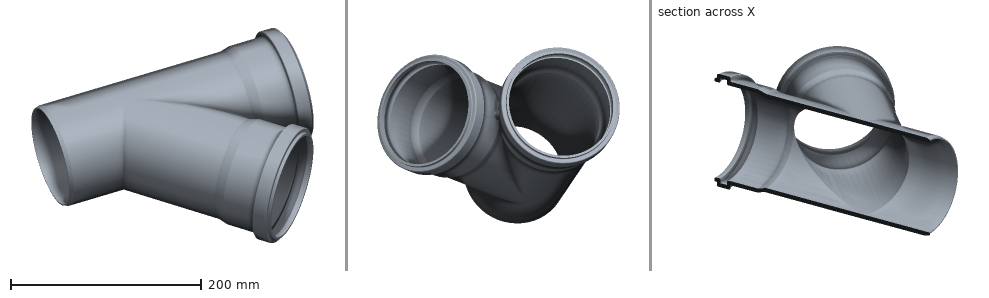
import cadquery as cq
import math


BRANCH_ANGLE = 45.0
TOTAL_LENGTH = 275.1
ARM_LENGTH = 191.6
PIPE_OUTER_DIAMETER = 110.2
PIPE_BORE_DIAMETER = 104.6
SOCKET_WALL = 2.5
NECK_BORE_DIAMETER = 110.9
GROOVE_DIAMETER = 121.9
LIP_BORE_DIAMETER = 111.5

COLLAR_START = 3.3
COLLAR_END = 18.7
CONE_START = 54.3
CONE_END = 65.0

LIP_ROOT_RADIUS = 0.8
COLLAR_FRONT_RADIUS = 1.3
COLLAR_BACK_CHAMFER = 0.6
COLLAR_BACK_RADIUS = 1.4
SPIGOT_CHAMFER_LENGTH = 4.6
SPIGOT_CHAMFER_DEPTH = 1.4
CROTCH_FILLET_RADIUS = 1.0
PLANE_TOLERANCE = 0.001

WEB_TIP_DISTANCE = 158.2
WEB_SEMI_LENGTH = 18.5
WEB_SEMI_HEIGHT = 8.0
WEB_THICKNESS = 8.0

SPIGOT_LENGTH = TOTAL_LENGTH - ARM_LENGTH
PIPE_RADIUS = PIPE_OUTER_DIAMETER / 2
BORE_RADIUS = PIPE_BORE_DIAMETER / 2
NECK_BORE_RADIUS = NECK_BORE_DIAMETER / 2
NECK_RADIUS = NECK_BORE_RADIUS + SOCKET_WALL
GROOVE_RADIUS = GROOVE_DIAMETER / 2
COLLAR_RADIUS = GROOVE_RADIUS + SOCKET_WALL
LIP_BORE_RADIUS = LIP_BORE_DIAMETER / 2
LIP_RADIUS = LIP_BORE_RADIUS + SOCKET_WALL
GROOVE_START = COLLAR_START + SOCKET_WALL
GROOVE_END = COLLAR_END - SOCKET_WALL


def revolve_about_y(profile):
    """Close a radius/axis profile and spin it about the Y axis."""
    return profile.close().revolve(360, (0, 0, 0), (0, 1, 0))


def tilt(body):
    """Swing a body from the run axis to the branch axis."""
    return body.rotate((0, 0, 0), (0, 0, 1), -BRANCH_ANGLE)


def outer_arm():
    """Solid outer shape from the axis crossing to the socket mouth."""
    mouth = ARM_LENGTH
    collar_front = mouth - COLLAR_START
    collar_back = mouth - COLLAR_END
    profile = (
        cq.Workplane("XY")
        .moveTo(0, 0)
        .lineTo(PIPE_RADIUS, 0)
        .lineTo(PIPE_RADIUS, mouth - CONE_END)
        .lineTo(NECK_RADIUS, mouth - CONE_START)
        .lineTo(NECK_RADIUS, collar_back - COLLAR_BACK_RADIUS)
        .radiusArc((NECK_RADIUS + COLLAR_BACK_RADIUS, collar_back), COLLAR_BACK_RADIUS)
        .lineTo(COLLAR_RADIUS - COLLAR_BACK_CHAMFER, collar_back)
        .lineTo(COLLAR_RADIUS, collar_back + COLLAR_BACK_CHAMFER)
        .lineTo(COLLAR_RADIUS, collar_front - COLLAR_FRONT_RADIUS)
        .radiusArc((COLLAR_RADIUS - COLLAR_FRONT_RADIUS, collar_front), -COLLAR_FRONT_RADIUS)
        .lineTo(LIP_RADIUS + LIP_ROOT_RADIUS, collar_front)
        .radiusArc((LIP_RADIUS, collar_front + LIP_ROOT_RADIUS), LIP_ROOT_RADIUS)
        .lineTo(LIP_RADIUS, mouth)
        .lineTo(0, mouth)
    )
    return revolve_about_y(profile)


def outer_spigot():
    """Plain pipe end below the axis crossing, tapered at its tip."""
    profile = (
        cq.Workplane("XY")
        .moveTo(0, 0)
        .lineTo(PIPE_RADIUS, 0)
        .lineTo(PIPE_RADIUS, SPIGOT_CHAMFER_LENGTH - SPIGOT_LENGTH)
        .lineTo(PIPE_RADIUS - SPIGOT_CHAMFER_DEPTH, -SPIGOT_LENGTH)
        .lineTo(0, -SPIGOT_LENGTH)
    )
    return revolve_about_y(profile)


def arm_bore():
    """Hollow of one arm: pipe bore, flare, socket bore, seal groove and mouth."""
    mouth = ARM_LENGTH
    profile = (
        cq.Workplane("XY")
        .moveTo(0, 0)
        .lineTo(BORE_RADIUS, 0)
        .lineTo(BORE_RADIUS, mouth - CONE_END)
        .lineTo(NECK_BORE_RADIUS, mouth - CONE_START)
        .lineTo(NECK_BORE_RADIUS, mouth - GROOVE_END)
        .lineTo(GROOVE_RADIUS, mouth - GROOVE_END)
        .lineTo(GROOVE_RADIUS, mouth - GROOVE_START)
        .lineTo(LIP_BORE_RADIUS, mouth - GROOVE_START)
        .lineTo(LIP_BORE_RADIUS, mouth)
        .lineTo(0, mouth)
    )
    return revolve_about_y(profile)


def spigot_bore():
    """Straight bore of the plain pipe end."""
    return cq.Workplane("XZ").circle(BORE_RADIUS).extrude(SPIGOT_LENGTH)


def crotch_edges(body):
    """Edges in the bisector plane of the acute crotch between run and branch."""
    half_angle = math.radians(BRANCH_ANGLE / 2)
    edges = []
    for edge in body.edges().vals():
        middle = edge.positionAt(0.5)
        offset = middle.x * math.cos(half_angle) - middle.y * math.sin(half_angle)
        if abs(offset) < PLANE_TOLERANCE and middle.y > 0:
            edges.append(edge)
    return edges


def crotch_web():
    """Small elliptical web that closes the narrow gap between the two necks."""
    center_distance = WEB_TIP_DISTANCE - WEB_SEMI_LENGTH
    return (
        cq.Workplane("YZ")
        .center(center_distance, 0)
        .ellipse(WEB_SEMI_LENGTH, WEB_SEMI_HEIGHT)
        .extrude(WEB_THICKNESS / 2, both=True)
        .rotate((0, 0, 0), (0, 0, 1), -BRANCH_ANGLE / 2)
    )


outer = outer_spigot().union(outer_arm()).union(tilt(outer_arm()))
outer = outer.newObject(crotch_edges(outer)).fillet(CROTCH_FILLET_RADIUS)
outer = outer.union(crotch_web())
hollow = outer.cut(spigot_bore()).cut(arm_bore()).cut(tilt(arm_bore()))
result = hollow.solids()